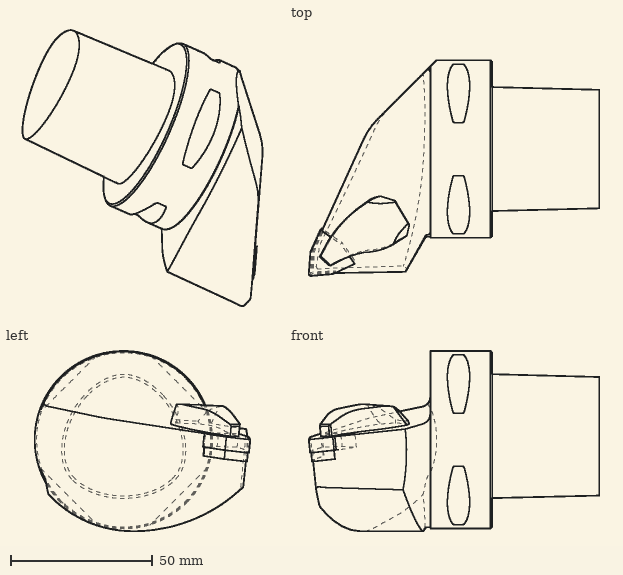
import cadquery as cq
import math

TIP_X = -65.0
TIP_Y = -45.0
SEAT_TILT = 6.0
TILT_SLOPE = math.tan(math.radians(SEAT_TILT))

SHANK_LENGTH = 38.0
SHANK_RADIUS = 22.0
SHANK_LOBE = 1.25
SHANK_TAPER = 1 / 20
SHANK_SECTION_POINTS = 36

FLANGE_RADIUS = 31.5
FLANGE_WIDTH = 22.0
FLANGE_REAR_CHAMFER = 0.6
FLANGE_FRONT_CHAMFER = 0.3

SLOT_COUNT = 4
SLOT_X = -11.9
SLOT_FLOOR_WIDTH = 3.75
SLOT_FLOOR_DISTANCE = 27.9
SLOT_WALL_ANGLE = 30.0
SLOT_FLOOR_FILLET = 0.75
SLOT_CUT_HEIGHT = 6.0

NECK_RADIUS = 31.1
NECK_WIDTH = 1.5
NECK_FILLET = 0.65
HEAD_CONE_ANGLE = 30.0
HEAD_DEPTH = 60.0
HEAD_CLEARANCE = 45.0
TOP_FILLET = 3.0
BACK_PLANE = 51.2
SIDE_ANGLE = 25.0
SIDE_CORNER_RADIUS = 25.0
FRONT_WALL_ANGLE = 1.0
FRONT_WALL_START = (-60.0, -44.05)
HEAD_REAR_X = -15.0
UNDERSIDE_LOW_Y = -3.5
UNDERSIDE_LOW_Z = -32.5
UNDERSIDE_FRONT_RADIUS = 56.0
UNDERSIDE_BACK_RADIUS = 41.0
UNDERSIDE_FRONT_REACH = 48.0
UNDERSIDE_BACK_REACH = 40.0
HEAD_FRONT_X = TIP_X - 5

INSERT_CIRCLE = 12.7
INSERT_THICKNESS = 4.76
INSERT_CORNER_ANGLE = 80.0
INSERT_NOSE_RADIUS = 0.8
SHIM_THICKNESS = 3.2
SHIM_INSET = 0.3
SHIM_NOSE_RADIUS = 1.0
TIP_INSET = 0.65
SIDE_INSET = 0.6
HEAD_NOSE_RADIUS = 1.0
TIP_SIDE_BLEND = 5.0
TIP_FRONT_BLEND = 10.0

CLAMP_HEIGHT = 8.0
CLAMP_TIP_LEFT = (-60.7, -37.8)
CLAMP_TIP_RIGHT = (-57.2, -41.1)
CLAMP_TIP_HEIGHT = 4.0
CLAMP_TIP_CHAMFER = 0.5
CLAMP_TAIL_LEFT = (-34.4, -18.3)
CLAMP_TAIL_RIGHT = (-30.2, -30.7)
CLAMP_NOSE_HEADING = 225.0
CLAMP_NOSE_START = (-49.1, -31.6)
CLAMP_NOSE_ANGLE = 25.0
CLAMP_NOSE_ARC = 7.8
CLAMP_REAR_HEADING = 30.0
CLAMP_REAR_START = (-42.0, -27.4)
CLAMP_REAR_ANGLE = 47.0
CLAMP_REAR_ARC = 8.1
CLAMP_SLOPE_RUN = 6.0
BEVEL_RIGHT_HEADING = -13.3
BEVEL_RIGHT_RUN = 3.8
BEVEL_LEFT_HEADING = 73.0
BEVEL_LEFT_RUN = 2.6
CLAMP_REACH = 60.0

seat = cq.Plane(
    origin=(TIP_X, TIP_Y, 0),
    xDir=(1, 0, TILT_SLOPE),
    normal=(-TILT_SLOPE, -TILT_SLOPE, 1),
)


def on_seat(x, y):
    """Local coordinates of the top face point that lies above (x, y)."""
    z = TILT_SLOPE * (x - TIP_X + y - TIP_Y)
    local = seat.toLocalCoords(cq.Vector(x, y, z))
    return (local.x, local.y)


def polar(radius, degrees, center=(0, 0)):
    angle = math.radians(degrees)
    return (center[0] + radius * math.cos(angle), center[1] + radius * math.sin(angle))


def line_crossing(point_a, degrees_a, point_b, degrees_b):
    """Point where two lines, each a point and a heading, cross."""
    ax, ay = polar(1, degrees_a)
    bx, by = polar(1, degrees_b)
    dx = point_b[0] - point_a[0]
    dy = point_b[1] - point_a[1]
    travel = (dx * by - dy * bx) / (ax * by - ay * bx)
    return (point_a[0] + travel * ax, point_a[1] + travel * ay)


half_corner = INSERT_CORNER_ANGLE / 2
edge_lead = 45 - half_corner
nose_setback = INSERT_NOSE_RADIUS / math.sin(math.radians(half_corner))
corner_gap = nose_setback * math.cos(math.radians(45)) - INSERT_NOSE_RADIUS
sharp_tip = (-corner_gap, -corner_gap)
tip_reach = INSERT_CIRCLE / 2 / math.sin(math.radians(half_corner))
insert_center = polar(tip_reach, 45, sharp_tip)


def edge_near(solid, point, height):
    """Edge of a solid nearest to a seat-frame point at a height above the top face."""
    world = seat.toWorldCoords((point[0], point[1], height))
    return solid.edges(cq.selectors.NearestToPointSelector(world.toTuple()))


def round_upright_edge(prism, point, height, radius):
    """Fillet the prism edge that stands on a seat-frame point."""
    return edge_near(prism, point, height).fillet(radius)


def trigon(inset, nose_radius, top, thickness):
    """Six-sided trigon plate below the top face, with a rounded cutting corner."""
    inradius = INSERT_CIRCLE / 2 - inset
    corner_reach = inradius / math.sin(math.radians(half_corner))
    flank_reach = inradius / math.cos(math.radians(half_corner - 30))
    points = []
    for heading in range(225, 225 + 360, 120):
        points.append(polar(corner_reach, heading, insert_center))
        points.append(polar(flank_reach, heading + 60, insert_center))
    plate = cq.Workplane(seat).workplane(offset=top).polyline(points).close().extrude(-thickness)
    return round_upright_edge(plate, points[0], top - thickness / 2, nose_radius)


def shank_section(x, radius, lobe):
    """Constant-width three-lobed wire with one lobe toward +Z."""
    def point(t):
        support = radius + lobe * math.cos(3 * t)
        slope = -3 * lobe * math.sin(3 * t)
        across = support * math.sin(t) + slope * math.cos(t)
        up = support * math.cos(t) - slope * math.sin(t)
        return (across, up)

    step = 2 * math.pi / SHANK_SECTION_POINTS
    points = [point(step * index) for index in range(SHANK_SECTION_POINTS)]
    return cq.Workplane("YZ", origin=(x, 0, 0)).spline(points, periodic=True).close().val()


def make_shank():
    end_radius = SHANK_RADIUS - SHANK_LENGTH * SHANK_TAPER / 2
    end_lobe = SHANK_LOBE * end_radius / SHANK_RADIUS
    base = shank_section(0, SHANK_RADIUS, SHANK_LOBE)
    end = shank_section(SHANK_LENGTH, end_radius, end_lobe)
    return cq.Workplane(cq.Solid.makeLoft([base, end], True))


def gripper_slot(index):
    depth_to_top = SLOT_CUT_HEIGHT * math.tan(math.radians(SLOT_WALL_ANGLE))
    floor_half = SLOT_FLOOR_WIDTH / 2
    top_half = floor_half + depth_to_top
    slot = (
        cq.Workplane("XZ", origin=(SLOT_X, FLANGE_RADIUS, SLOT_FLOOR_DISTANCE))
        .polyline([
            (-floor_half, 0),
            (floor_half, 0),
            (top_half, SLOT_CUT_HEIGHT),
            (-top_half, SLOT_CUT_HEIGHT),
        ])
        .close()
        .extrude(2 * FLANGE_RADIUS)
        .faces("<Z")
        .edges("|Y")
        .fillet(SLOT_FLOOR_FILLET)
    )
    heading = 45 + index * 360 / SLOT_COUNT
    return slot.rotate((0, 0, 0), (1, 0, 0), heading)


def make_flange():
    flange = cq.Workplane("YZ").circle(FLANGE_RADIUS).extrude(-FLANGE_WIDTH)
    flange = flange.faces(">X").chamfer(FLANGE_REAR_CHAMFER)
    flange = flange.faces("<X").chamfer(FLANGE_FRONT_CHAMFER)
    for index in range(SLOT_COUNT):
        flange = flange.cut(gripper_slot(index))
    corner_x = -FLANGE_WIDTH - 1
    corner_end = FLANGE_RADIUS + 1
    back_cut = (
        cq.Workplane("XY", origin=(0, 0, -FLANGE_RADIUS))
        .polyline([
            (corner_x, BACK_PLANE + corner_x),
            (corner_end - BACK_PLANE, corner_end),
            (corner_x, corner_end),
        ])
        .close()
        .extrude(2 * FLANGE_RADIUS)
    )
    return flange.cut(back_cut)


def head_outline():
    """Outline points of the head; the last two end the shallow arc at the tip's front face."""
    nose = polar(TIP_INSET / math.sin(math.radians(half_corner)), 45, sharp_tip)
    side_heading = 90 - SIDE_ANGLE
    side_point = polar(INSERT_CIRCLE / 2 - SIDE_INSET, side_heading + 90, insert_center)
    side_start = line_crossing(nose, 90 - edge_lead, side_point, side_heading)
    back_point = on_seat(HEAD_REAR_X, BACK_PLANE + HEAD_REAR_X)
    back_ahead = on_seat(TIP_X, BACK_PLANE + TIP_X)
    back_heading = math.degrees(math.atan2(back_point[1] - back_ahead[1], back_point[0] - back_ahead[0]))
    side_end = line_crossing(side_start, side_heading, back_point, back_heading)
    front_start = line_crossing(nose, edge_lead, on_seat(*FRONT_WALL_START), FRONT_WALL_ANGLE)
    front_drop = (HEAD_REAR_X - FRONT_WALL_START[0]) * math.tan(math.radians(FRONT_WALL_ANGLE))
    front_end = on_seat(HEAD_REAR_X, FRONT_WALL_START[1] + front_drop)
    bend_angle = math.radians(edge_lead - FRONT_WALL_ANGLE)
    bend_reach = TIP_FRONT_BLEND * math.tan(bend_angle / 2)
    bend_start = polar(bend_reach, FRONT_WALL_ANGLE, front_start)
    bend_end = polar(-bend_reach, edge_lead, front_start)
    return [nose, side_start, side_end, back_point, front_end, bend_start, bend_end]


def make_head():
    outline = head_outline()
    prism = (
        cq.Workplane(seat)
        .workplane(offset=-HEAD_DEPTH)
        .polyline(outline[:-1])
        .tangentArcPoint(outline[-1], relative=False)
        .close()
        .extrude(HEAD_DEPTH + HEAD_CLEARANCE)
    )
    middle = (HEAD_CLEARANCE - HEAD_DEPTH) / 2
    nose, side_start, side_end = outline[:3]
    prism = round_upright_edge(prism, nose, middle, HEAD_NOSE_RADIUS)
    prism = round_upright_edge(prism, side_start, middle, TIP_SIDE_BLEND)
    prism = round_upright_edge(prism, side_end, middle, SIDE_CORNER_RADIUS)
    return prism.intersect(turned_limit()).intersect(underside_limit())


def turned_limit():
    """Turned envelope: a cone that narrows to the neck at the flange."""
    neck_x = -FLANGE_WIDTH - NECK_WIDTH
    cone_radius = NECK_RADIUS + (neck_x - HEAD_FRONT_X) / math.tan(math.radians(HEAD_CONE_ANGLE))
    envelope = (
        cq.Workplane("XY")
        .polyline([
            (HEAD_FRONT_X, 0),
            (HEAD_FRONT_X, cone_radius),
            (neck_x, NECK_RADIUS),
            (-FLANGE_WIDTH + 1, NECK_RADIUS),
            (-FLANGE_WIDTH + 1, 0),
        ])
        .close()
        .revolve(360, (0, 0, 0), (1, 0, 0))
    )
    neck_edge = cq.selectors.BoxSelector(
        (neck_x - 0.1, -FLANGE_RADIUS, -FLANGE_RADIUS),
        (neck_x + 0.1, FLANGE_RADIUS, FLANGE_RADIUS),
    )
    return envelope.edges(neck_edge).fillet(NECK_FILLET)


def underside_limit():
    """Prism along X whose floor is two arcs tangent at the lowest line."""
    def floor_arc(radius, reach):
        return UNDERSIDE_LOW_Z + radius - math.sqrt(radius ** 2 - reach ** 2)

    front = UNDERSIDE_LOW_Y - UNDERSIDE_FRONT_REACH
    back = UNDERSIDE_LOW_Y + UNDERSIDE_BACK_REACH
    ceiling = FLANGE_RADIUS + 10
    front_mid = UNDERSIDE_FRONT_REACH / 2
    back_mid = UNDERSIDE_BACK_REACH / 2
    return (
        cq.Workplane("YZ", origin=(HEAD_FRONT_X, 0, 0))
        .moveTo(front, ceiling)
        .lineTo(front, floor_arc(UNDERSIDE_FRONT_RADIUS, UNDERSIDE_FRONT_REACH))
        .threePointArc(
            (UNDERSIDE_LOW_Y - front_mid, floor_arc(UNDERSIDE_FRONT_RADIUS, front_mid)),
            (UNDERSIDE_LOW_Y, UNDERSIDE_LOW_Z),
        )
        .threePointArc(
            (UNDERSIDE_LOW_Y + back_mid, floor_arc(UNDERSIDE_BACK_RADIUS, back_mid)),
            (back, floor_arc(UNDERSIDE_BACK_RADIUS, UNDERSIDE_BACK_REACH)),
        )
        .lineTo(back, ceiling)
        .close()
        .extrude(-HEAD_FRONT_X)
    )


def top_clearance():
    """Space above the top face, with a filleted root at the flange."""
    size = 4 * HEAD_DEPTH
    above_top = cq.Workplane(seat).rect(2 * size, 2 * size).extrude(size)
    ahead_of_flange = cq.Workplane("YZ", origin=(-FLANGE_WIDTH, 0, 0)).rect(size, size).extrude(-size / 2)
    space = above_top.intersect(ahead_of_flange)
    root_z = TILT_SLOPE * (-FLANGE_WIDTH - TIP_X - TIP_Y)
    root = cq.selectors.NearestToPointSelector((-FLANGE_WIDTH, 0, root_z))
    return space.edges(root).fillet(TOP_FILLET)


def clamp_outline():
    """Clamp footprint raised to its full height: a waisted drop with a blunt tip."""
    return (
        cq.Workplane(seat)
        .moveTo(*on_seat(*CLAMP_TIP_LEFT))
        .lineTo(*on_seat(-57.4, -31.9))
        .threePointArc(on_seat(-53.4, -26.5), on_seat(-44.5, -18.8))
        .threePointArc(on_seat(-42.0, -17.3), on_seat(-39.5, -16.7))
        .lineTo(*on_seat(*CLAMP_TAIL_LEFT))
        .lineTo(*on_seat(-29.3, -26.9))
        .lineTo(*on_seat(*CLAMP_TAIL_RIGHT))
        .lineTo(*on_seat(-34.6, -33.2))
        .threePointArc(on_seat(-39.5, -35.1), on_seat(-44.6, -35.8))
        .threePointArc(on_seat(-49.8, -37.3), on_seat(-53.4, -39.0))
        .lineTo(*on_seat(*CLAMP_TIP_RIGHT))
        .close()
        .extrude(CLAMP_HEIGHT)
    )


def profile_plane(start, heading):
    """Upright plane through a top face position, running along a heading."""
    local = on_seat(*start)
    origin = seat.toWorldCoords((local[0], local[1], 0))
    ahead = polar(1, heading)
    along = seat.toWorldCoords((ahead[0], ahead[1], 0)) - seat.origin
    return cq.Plane(origin=origin, xDir=along, normal=along.cross(seat.zDir))


def bent_top(start, heading, arc_run, angle):
    """Material under a flat top that bends down an arc and then a straight slope."""
    radius = arc_run / math.sin(math.radians(angle))
    arc_center = (0, CLAMP_HEIGHT - radius)
    slope_start = polar(radius, 90 - angle, arc_center)
    slope_end_x = arc_run + CLAMP_SLOPE_RUN
    slope_end_height = slope_start[1] - CLAMP_SLOPE_RUN * math.tan(math.radians(angle))
    floor = min(0, slope_end_height) - 1
    return (
        cq.Workplane(profile_plane(start, heading))
        .moveTo(-CLAMP_REACH, CLAMP_HEIGHT)
        .lineTo(0, CLAMP_HEIGHT)
        .threePointArc(polar(radius, 90 - angle / 2, arc_center), slope_start)
        .lineTo(slope_end_x, slope_end_height)
        .lineTo(slope_end_x, floor)
        .lineTo(-CLAMP_REACH, floor)
        .close()
        .extrude(CLAMP_REACH, both=True)
    )


def tail_bevel(start, heading, run):
    """Material behind a flat bevel that rises inward from a base point."""
    return (
        cq.Workplane(profile_plane(start, heading))
        .polyline([(-CLAMP_REACH, CLAMP_HEIGHT), (-run, CLAMP_HEIGHT), (0, 0), (-CLAMP_REACH, 0)])
        .close()
        .extrude(CLAMP_REACH, both=True)
    )


def make_clamp():
    clamp = (
        clamp_outline()
        .intersect(bent_top(CLAMP_NOSE_START, CLAMP_NOSE_HEADING, CLAMP_NOSE_ARC, CLAMP_NOSE_ANGLE))
        .intersect(bent_top(CLAMP_REAR_START, CLAMP_REAR_HEADING, CLAMP_REAR_ARC, CLAMP_REAR_ANGLE))
        .intersect(tail_bevel(CLAMP_TAIL_RIGHT, BEVEL_RIGHT_HEADING, BEVEL_RIGHT_RUN))
        .intersect(tail_bevel(CLAMP_TAIL_LEFT, BEVEL_LEFT_HEADING, BEVEL_LEFT_RUN))
    )
    right = on_seat(*CLAMP_TIP_RIGHT)
    left = on_seat(*CLAMP_TIP_LEFT)
    tip_middle = ((left[0] + right[0]) / 2, (left[1] + right[1]) / 2)
    top_edge = edge_near(clamp, tip_middle, CLAMP_TIP_HEIGHT)
    right_edge = edge_near(clamp, right, CLAMP_TIP_HEIGHT / 2)
    return clamp.newObject([top_edge.val(), right_edge.val()]).chamfer(CLAMP_TIP_CHAMFER)


insert = trigon(0, INSERT_NOSE_RADIUS, 0, INSERT_THICKNESS)
shim = trigon(SHIM_INSET, SHIM_NOSE_RADIUS, -INSERT_THICKNESS, SHIM_THICKNESS)

holder = (
    make_head()
    .cut(top_clearance())
    .union(make_flange())
    .union(make_shank())
    .union(make_clamp())
    .union(shim)
    .cut(insert)
)

result = cq.Compound.makeCompound([holder.val(), insert.val()])